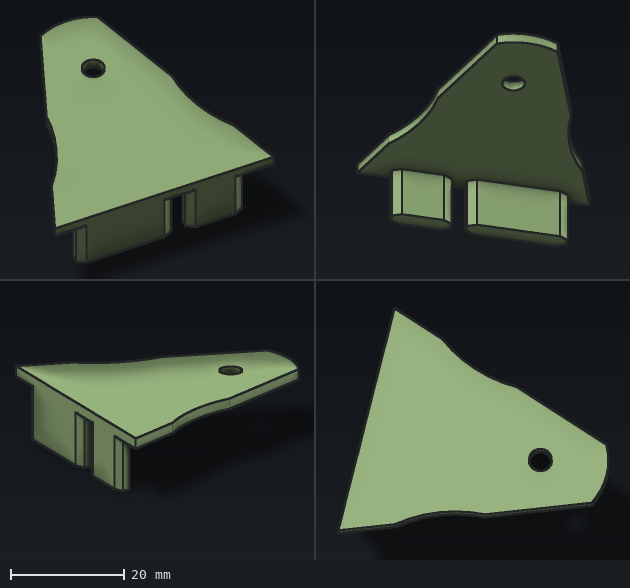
import cadquery as cq
import math

plate_thickness = 1.98
nose_radius = 12.0
nose_half_width = 5.5
hole_diameter = 4.0
back_x = 31.6
back_half_width = 21.015
waist_start_x = 7.15
waist_end_x = 22.05
waist_radius = 25.0

tab_height = 10.0
tab_thickness = 2.93
tab_bevel_depth = 0.81
tab_bevel_length = 1.66
tip_groove_radius = 1.5
tab_flats = [(-15.0, 0.0), (6.0, 13.6)]

nose_corner_x = -math.sqrt(nose_radius**2 - nose_half_width**2)
taper_angle = math.atan2(back_half_width - nose_half_width, back_x - nose_corner_x)


def side_y(x):
    """Half width of the tapered plate at x, ignoring the hollowed waist."""
    return back_half_width - (back_x - x) * math.tan(taper_angle)


def sagitta(chord, radius):
    """Height of an arc above its chord."""
    return radius - math.sqrt(radius**2 - (chord / 2) ** 2)


def make_plate():
    start_y = side_y(waist_start_x)
    end_y = side_y(waist_end_x)
    waist_chord = math.hypot(waist_end_x - waist_start_x, end_y - start_y)
    waist_depth = sagitta(waist_chord, waist_radius)

    waist_mid_x = (waist_start_x + waist_end_x) / 2 + waist_depth * math.sin(taper_angle)
    waist_mid_y = (start_y + end_y) / 2 - waist_depth * math.cos(taper_angle)

    return (
        cq.Workplane("XY")
        .moveTo(nose_corner_x, -nose_half_width)
        .lineTo(waist_start_x, -start_y)
        .threePointArc((waist_mid_x, -waist_mid_y), (waist_end_x, -end_y))
        .lineTo(back_x, -back_half_width)
        .lineTo(back_x, back_half_width)
        .lineTo(waist_end_x, end_y)
        .threePointArc((waist_mid_x, waist_mid_y), (waist_start_x, start_y))
        .lineTo(nose_corner_x, nose_half_width)
        .threePointArc((-nose_radius, 0), (nose_corner_x, -nose_half_width))
        .close()
        .extrude(plate_thickness)
        .cut(cq.Workplane("XY").circle(hole_diameter / 2).extrude(plate_thickness))
    )


def make_tab(flat_min_y, flat_max_y):
    front_x = back_x - tab_thickness
    tip_front_x = front_x + tab_bevel_depth
    tip_back_x = back_x - tab_bevel_depth
    tip_mid_x = (tip_front_x + tip_back_x) / 2
    tip_min_y = flat_min_y - tab_bevel_length
    tip_max_y = flat_max_y + tab_bevel_length
    groove_depth = sagitta(tip_back_x - tip_front_x, tip_groove_radius)

    return (
        cq.Workplane("XY")
        .moveTo(front_x, flat_min_y)
        .lineTo(tip_front_x, tip_min_y)
        .threePointArc((tip_mid_x, tip_min_y + groove_depth), (tip_back_x, tip_min_y))
        .lineTo(back_x, flat_min_y)
        .lineTo(back_x, flat_max_y)
        .lineTo(tip_back_x, tip_max_y)
        .threePointArc((tip_mid_x, tip_max_y - groove_depth), (tip_front_x, tip_max_y))
        .lineTo(front_x, flat_max_y)
        .close()
        .extrude(-tab_height)
    )


result = make_plate()
for flat_min_y, flat_max_y in tab_flats:
    result = result.union(make_tab(flat_min_y, flat_max_y))